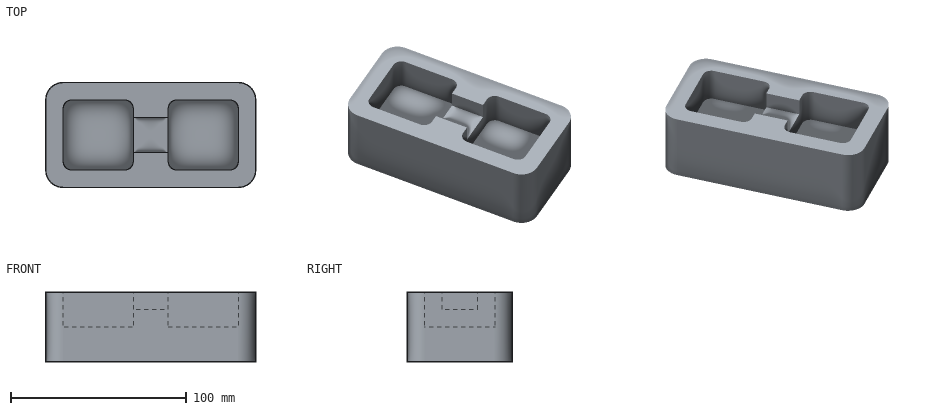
import cadquery as cq

length = 120.0
width = length / 2
height = 40.0
corner_radius = 10.0

wall = 10.0
pocket_size = width - 2 * wall
pocket_radius = 5.0
pocket_depth = 20.0
pocket_offset = length / 2 - wall - pocket_size / 2

channel_width = 20.0
channel_depth = 10.0


def rounded_block(size_x, size_y, size_z, radius):
    """Upright block with rounded vertical edges, standing on Z = 0."""
    block = cq.Workplane("XY").box(size_x, size_y, size_z, centered=(True, True, False))
    return block.edges("|Z").fillet(radius)


result = rounded_block(length, width, height, corner_radius)

for pocket_x in (-pocket_offset, pocket_offset):
    pocket = rounded_block(pocket_size, pocket_size, pocket_depth, pocket_radius)
    result = result.cut(pocket.translate((pocket_x, 0, height - pocket_depth)))

channel = cq.Workplane("XY").box(
    2 * pocket_offset, channel_width, channel_depth, centered=(True, True, False)
)
result = result.cut(channel.translate((0, 0, height - channel_depth)))